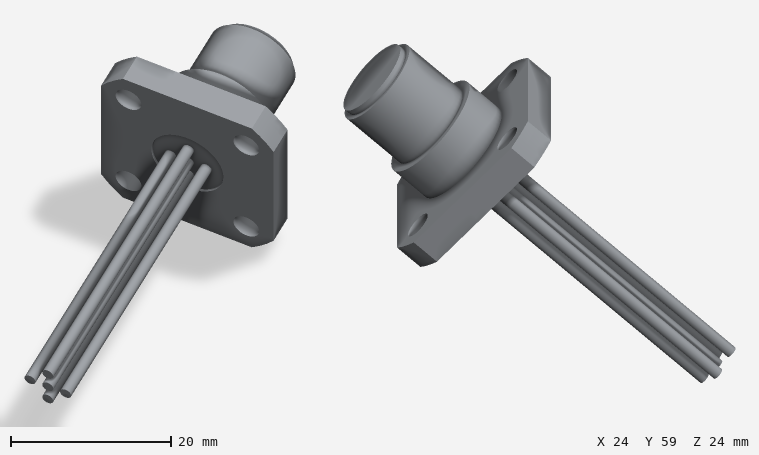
import cadquery as cq

total_length = 59
tip_length = 0.9
barrel_length = 9.1
collar_length = 5.5
flange_thickness = 1.4
cover_thickness = 2.55

plate_width = 24.0
corner_radius = 15.0
mount_hole_diameter = 3.6
mount_hole_pitch = 16.4

tip_diameter = 10.5
barrel_diameter = 11.9
collar_diameter = 14.4
cover_bore_diameter = 10.05
insert_diameter = 9.85
insert_recess = 0.3

wire_diameter = 1.55
wire_offset = 2.5
wire_places = [(0, 0), (wire_offset, 0), (-wire_offset, 0), (0, wire_offset), (0, -wire_offset)]

tip_start = total_length - tip_length
barrel_start = tip_start - barrel_length
collar_start = barrel_start - collar_length
flange_start = collar_start - flange_thickness
cover_start = flange_start - cover_thickness
insert_start = cover_start + insert_recess


def plane_at(y):
    """Sketch plane across the axis: local X is X, local Y is Z, extrusion goes to +Y."""
    return cq.Workplane(cq.Plane(origin=(0, y, 0), xDir=(1, 0, 0), normal=(0, 1, 0)))


def cylinder(diameter, start, end):
    return plane_at(start).circle(diameter / 2).extrude(end - start)


def plate(start, thickness):
    """Square plate with concentric round corners and four mounting holes."""
    square = plane_at(start).rect(plate_width, plate_width).extrude(thickness)
    rounded = square.intersect(cylinder(2 * corner_radius, start, start + thickness))
    holes = (
        plane_at(start)
        .rect(mount_hole_pitch, mount_hole_pitch, forConstruction=True)
        .vertices()
        .circle(mount_hole_diameter / 2)
        .extrude(thickness)
    )
    return rounded.cut(holes)


def make_connector():
    """Flanged connector with its stepped barrel, rear insert and wires."""
    body = plate(flange_start, flange_thickness)
    body = body.union(cylinder(collar_diameter, collar_start, barrel_start))
    body = body.union(cylinder(barrel_diameter, barrel_start, tip_start))
    body = body.union(cylinder(tip_diameter, tip_start, total_length))
    body = body.union(cylinder(insert_diameter, insert_start, flange_start))
    wires = plane_at(0).pushPoints(wire_places).circle(wire_diameter / 2).extrude(insert_start)
    return body.union(wires)


def make_cover_plate():
    """Plate on the wire side of the flange, bored to clear the insert."""
    bore = cylinder(cover_bore_diameter, cover_start, flange_start)
    return plate(cover_start, cover_thickness).cut(bore)


connector = make_connector()
cover_plate = make_cover_plate()

result = cq.Compound.makeCompound([connector.val(), cover_plate.val()])